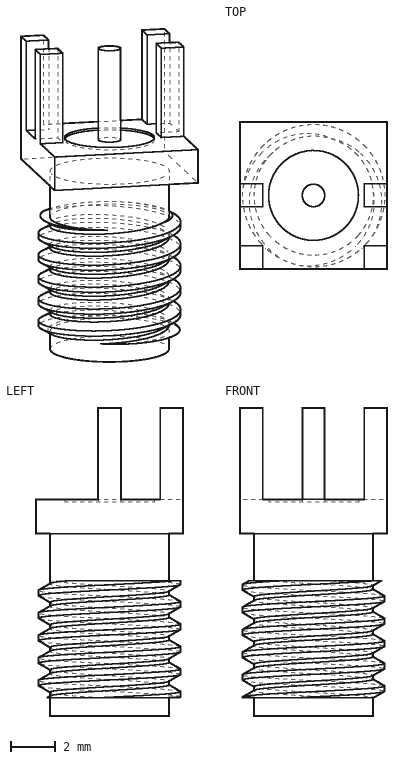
import cadquery as cq
import math

total_height = 13.7
plate_side = 6.55
plate_bottom = 8.11
plate_top = 9.63
leg_side = 1.03

pin_diameter = 1.0
recess_diameter = 4.0
recess_depth = 0.1

barrel_diameter = 5.3
thread_diameter = 6.33
thread_bottom = 0.82
thread_top = 6.01
thread_pitch = 1.0
crest_width = 0.23
flank_angle = 30.0
crest_height_at_x = 5.22
root_overlap = 0.08


def cylinder(diameter, bottom, top):
    return cq.Workplane("XY").workplane(offset=bottom).circle(diameter / 2).extrude(top - bottom)


def make_plate():
    plate_height = plate_top - plate_bottom
    plate = cq.Workplane("XY").workplane(offset=plate_bottom).rect(plate_side, plate_side).extrude(plate_height)
    return plate.cut(cylinder(recess_diameter, plate_top - recess_depth, plate_top))


def make_legs():
    """Two legs at the front corners and two halfway along the sides."""
    edge_offset = (plate_side - leg_side) / 2
    centres = [(side * edge_offset, y) for side in (-1, 1) for y in (-edge_offset, 0)]
    return (
        cq.Workplane("XY")
        .workplane(offset=plate_bottom)
        .pushPoints(centres)
        .rect(leg_side, leg_side)
        .extrude(total_height - plate_bottom)
    )


def make_thread():
    """Helical trapezoidal ridge, trimmed flat at both ends of the threaded length."""
    crest_radius = thread_diameter / 2
    root_radius = barrel_diameter / 2 - root_overlap
    half_crest = crest_width / 2
    half_root = half_crest + (crest_radius - root_radius) * math.tan(math.radians(flank_angle))

    turns_down = math.ceil((crest_height_at_x - thread_bottom) / thread_pitch) + 1
    turns_up = math.ceil((thread_top - crest_height_at_x) / thread_pitch) + 1
    start = crest_height_at_x - turns_down * thread_pitch
    length = (turns_down + turns_up) * thread_pitch

    path = cq.Wire.makeHelix(thread_pitch, length, root_radius, center=cq.Vector(0, 0, start))
    ridge = (
        cq.Workplane("XZ")
        .polyline(
            [
                (root_radius, start - half_root),
                (crest_radius, start - half_crest),
                (crest_radius, start + half_crest),
                (root_radius, start + half_root),
            ]
        )
        .close()
        .sweep(cq.Workplane(obj=path), isFrenet=True)
    )
    return ridge.intersect(cylinder(plate_side, thread_bottom, thread_top))


barrel = cylinder(barrel_diameter, 0, plate_bottom)
pin = cylinder(pin_diameter, plate_bottom, total_height)
result = make_plate().union(make_legs()).union(pin).union(barrel).union(make_thread())